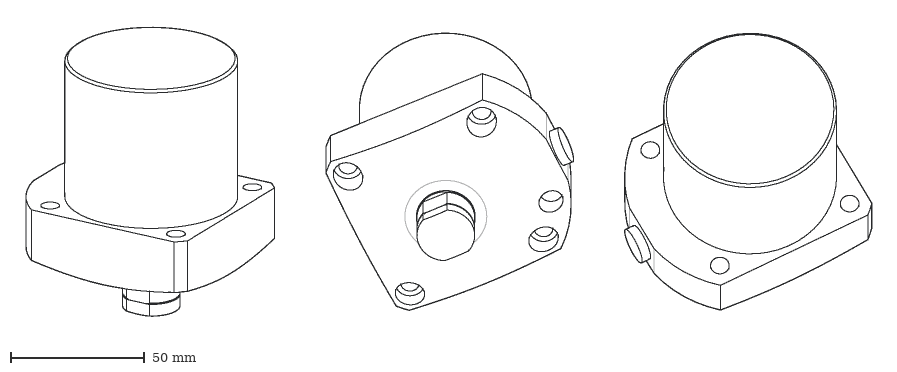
import cadquery as cq
import math


barrel_radius = 32.4
barrel_height = 55.7
barrel_chamfer = 1.0
flange_radius = 47.0
flange_width = 70.0
flange_half_width = flange_width / 2
port_face_offset = 46.0
flange_rim_depth = 20.4
flange_depth = 29.2
nose_radius = 15.4
bolt_circle_radius = 39.0
bolt_hole_diameter = 7.0
counterbore_diameter = 11.0
counterbore_ceiling_depth = 14.1
bolt_count = 4
first_bolt_angle = 45

port_x = -36.9
port_y = -14.1
port_diameter = 9.0
port_ceiling_depth = 14.1

plug_radius = 7.0
overall_length = 84.5
plug_length = overall_length - port_face_offset - flange_half_width
plug_depth = 11.3

rod_radius = 10.8
flats_width = 19.2
collar_radius = 11.0
collar_height = 0.9
rod_length = 10.1
rod_chamfer = 0.5
total_height = 101.0
dome_height = 1.3

rod_end_z = -flange_depth - rod_length
tip_end_z = barrel_height - total_height
tip_edge_z = tip_end_z + dome_height


def make_bolt_cylinders(diameter, start_depth):
    """Cutters on the bolt circle, running down from start_depth through the underside."""
    return (
        cq.Workplane("XY", origin=(0, 0, -start_depth))
        .polarArray(bolt_circle_radius, first_bolt_angle, 360, bolt_count)
        .circle(diameter / 2)
        .extrude(start_depth - flange_depth)
    )


def make_housing():
    """Barrel and flange in one piece, with counterbored bolt holes and a blind port below."""
    blank = (
        cq.Workplane("XZ")
        .moveTo(0, 0)
        .lineTo(flange_radius, 0)
        .lineTo(flange_radius, -flange_rim_depth)
        .lineTo(nose_radius, -flange_depth)
        .lineTo(0, -flange_depth)
        .close()
        .revolve(360, (0, 0), (0, 1))
    )
    trim_box = cq.Workplane("XY").box(
        port_face_offset + flange_half_width,
        2 * flange_half_width,
        flange_depth,
        centered=(False, True, False),
    ).translate((-port_face_offset, 0, -flange_depth))
    flange = blank.intersect(trim_box)
    bolt_holes = make_bolt_cylinders(bolt_hole_diameter, 0)
    counterbores = make_bolt_cylinders(counterbore_diameter, counterbore_ceiling_depth)
    blind_port = (
        cq.Workplane("XY", origin=(port_x, port_y, -flange_depth))
        .circle(port_diameter / 2)
        .extrude(flange_depth - port_ceiling_depth)
    )
    barrel = (
        cq.Workplane("XY")
        .circle(barrel_radius)
        .extrude(barrel_height)
        .faces(">Z")
        .chamfer(barrel_chamfer)
    )
    return flange.cut(bolt_holes).cut(counterbores).cut(blind_port).union(barrel)


def make_port_plug():
    """Short round plug seated against the -X flat of the flange."""
    return (
        cq.Workplane("YZ", origin=(-port_face_offset, 0, -plug_depth))
        .circle(plug_radius)
        .extrude(-plug_length)
    )


def cut_wrench_flats(body):
    """Trim a round body to the wrench flats facing +Y and -Y."""
    slab = cq.Workplane("XY").box(2 * rod_radius, flats_width, 2 * total_height)
    return body.intersect(slab)


def make_rod():
    """Flatted rod with a chamfered lower edge, under a thin full-round collar."""
    shank = (
        cq.Workplane("XY", origin=(0, 0, rod_end_z))
        .circle(rod_radius)
        .extrude(rod_length)
        .faces("<Z")
        .chamfer(rod_chamfer)
    )
    collar = (
        cq.Workplane("XY", origin=(0, 0, -flange_depth))
        .circle(collar_radius)
        .extrude(-collar_height)
    )
    return cut_wrench_flats(shank).union(collar)


def make_tip():
    """Flatted tip below the rod, ending in a shallow spherical dome."""
    dome_radius = (rod_radius**2 + dome_height**2) / (2 * dome_height)
    half_angle = math.asin(rod_radius / dome_radius) / 2
    dome_center_z = tip_end_z + dome_radius
    dome_midpoint = (
        dome_radius * math.sin(half_angle),
        dome_center_z - dome_radius * math.cos(half_angle),
    )
    button = (
        cq.Workplane("XZ")
        .moveTo(0, rod_end_z)
        .lineTo(rod_radius, rod_end_z)
        .lineTo(rod_radius, tip_edge_z)
        .threePointArc(dome_midpoint, (0, tip_end_z))
        .close()
        .revolve(360, (0, 0), (0, 1))
    )
    return cut_wrench_flats(button)


housing = make_housing().solids()
port_plug = make_port_plug().solids()
rod = make_rod().solids()
tip = make_tip().solids()

result = cq.Compound.makeCompound([housing.val(), port_plug.val(), rod.val(), tip.val()])